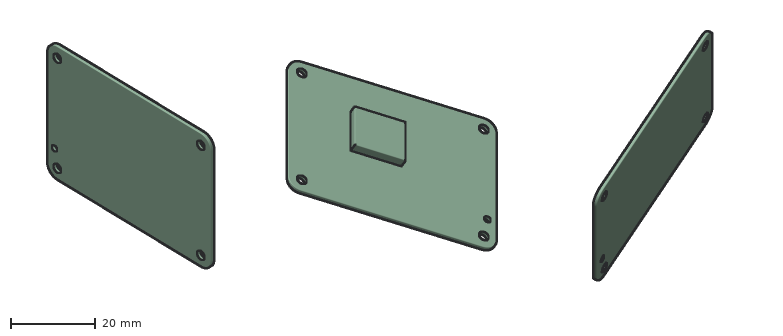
import cadquery as cq

plate_length = 55.0
plate_height = 40.0
plate_thickness = 1.2
corner_radius = 3.5

edge_fillet = 0.2

mount_hole_diameter = 2.5
mount_spacing_x = plate_length - 2 * corner_radius
mount_spacing_z = plate_height - 2 * corner_radius

small_hole_diameter = 1.7
small_hole_x = -24.95
small_hole_z = -11.0

overall_depth = 3.58
block_length = 13.4
block_height = 12.0
block_depth = overall_depth - plate_thickness
block_center_x = 4.45
block_center_z = 3.1


def back_facing_plane(y):
    """XZ workplane at the given Y whose normal points toward +Y (local x = -X, local y = +Z)."""
    return cq.Workplane(cq.Plane(origin=(0, y, 0), xDir=(-1, 0, 0), normal=(0, 1, 0)))


def make_plate():
    """Rounded rectangular plate with both face outlines rounded."""
    plate = back_facing_plane(0).rect(plate_length, plate_height).extrude(plate_thickness)
    plate = plate.edges("|Y").fillet(corner_radius)
    return plate.faces("<Y or >Y").edges().fillet(edge_fillet)


def make_block():
    """Solid block standing on the back face of the plate, its outer rim rounded."""
    block = (
        back_facing_plane(plate_thickness)
        .center(-block_center_x, block_center_z)
        .rect(block_length, block_height)
        .extrude(block_depth)
    )
    return block.faces(">Y").edges().fillet(edge_fillet)


def make_mount_holes():
    """Cutters for the four corner holes."""
    return (
        back_facing_plane(0)
        .rect(mount_spacing_x, mount_spacing_z, forConstruction=True)
        .vertices()
        .circle(mount_hole_diameter / 2)
        .extrude(plate_thickness)
    )


def make_small_hole():
    """Cutter for the single small hole."""
    return (
        back_facing_plane(0)
        .center(-small_hole_x, small_hole_z)
        .circle(small_hole_diameter / 2)
        .extrude(plate_thickness)
    )


result = make_plate().union(make_block()).cut(make_mount_holes()).cut(make_small_hole())